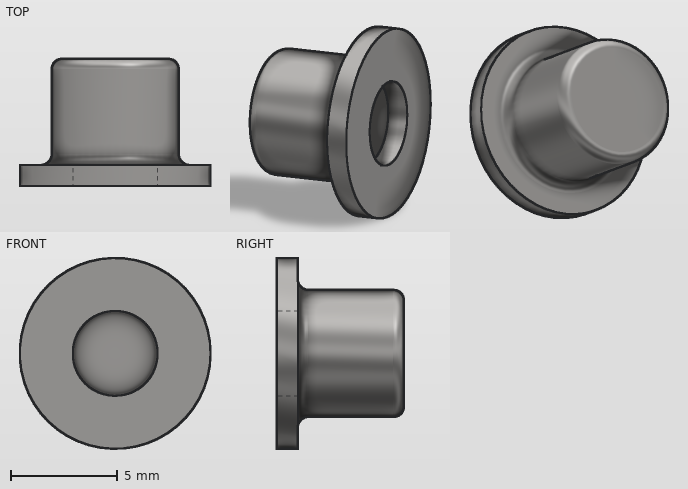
import cadquery as cq

FLANGE_DIAMETER = 9.0
FLANGE_THICKNESS = 1.0
BODY_DIAMETER = 6.0
TOTAL_LENGTH = 6.0
RECESS_DIAMETER = 4.0
RECESS_DEPTH = 1.0
ROOT_FILLET = 0.5
END_FILLET = 0.5


def cylinder_along_y(diameter, length):
    """Cylinder on the Y axis, from Y = 0 toward +Y."""
    return cq.Workplane("XZ").circle(diameter / 2).extrude(-length)


def flanged_body():
    """Plug body on a round flange, with its root and its end rounded."""
    flange = cylinder_along_y(FLANGE_DIAMETER, FLANGE_THICKNESS)
    body = cylinder_along_y(BODY_DIAMETER, TOTAL_LENGTH)
    plug = flange.union(body)
    plug = plug.edges(cq.selectors.RadiusNthSelector(0)).edges("<Y").fillet(ROOT_FILLET)
    return plug.faces(">Y").edges().fillet(END_FILLET)


def recess():
    """Blind round recess in the flange face."""
    return cylinder_along_y(RECESS_DIAMETER, RECESS_DEPTH)


result = flanged_body().cut(recess())